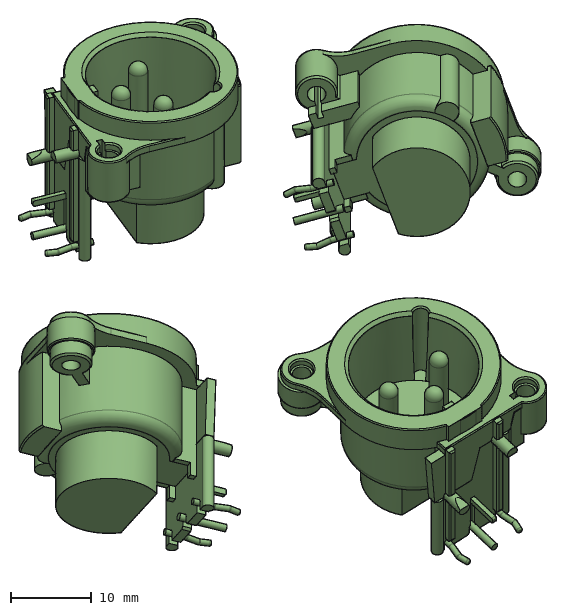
import cadquery as cq
import math


flange_top = -2.74
flange_bottom = -3.77
shell_bottom = -14.5
skirt_bottom = -16.3
lug_bottom = -9.0

rim_radius = 10.83
rim_chamfer = 0.15
shell_radius = 9.05
shell_bottom_fillet = 1.5
socket_top_radius = 8.1
socket_floor_radius = 7.5
socket_floor = -12.0
mouth_bevel = 0.45
mouth_flat_y = -8.29
key_groove_radius = 1.0
key_groove_offset = 8.2
key_groove_bevel = 0.2
key_wall = 0.5
rim_pad_left = -3.13
rim_pad_right = 2.21
rim_pad_y = -10.76

lug_offset = 9.86
lug_radius = 2.6
collar_radius = 2.95
collar_bottom = -7.0
lug_hole_radius = 1.15
lug_recess_radius = 1.45
lug_recess_depth = 1.0
lug_recess_chamfer = 0.2
lug_blend_radius = 6.0
flange_chamfer = 0.15
lug_bottom_chamfer = 0.25
flange_left = -4.33
rear_radius = 11.25
rear_half_width = 3.4
rear_block_chamfer = 0.2
lug_slot_left = 7.42
lug_slot_y = -10.08
lug_slot_width = 0.72
lug_web_width = 1.36

wall_front = -11.56
wall_back = -10.35
skirt_back = -9.55
skirt_half_width = 3.4
seam_low = -11.65
seam_high = -6.45
seam_low_x = -0.12
seam_high_x = 1.2
wall_top_left = -6.53
wall_top_right = 6.7
seam_left = -6.0
seam_right = 6.07
side_web_left = 6.2
side_web_right = 8.3
side_web_front = -11.45
side_web_back = -5.0
side_web_bottom = -10.73
neck_half_width = 2.6
neck_top = -12.5
neck_back = -5.0

rib_x = 3.8
rib_width = 1.0
rib_front = -12.45
rib_bottom = -19.66
rib_chamfer = 0.2
peg_radius = 0.8
peg_taper_start = -13.1
peg_tip = -14.72
peg_tip_drop = 0.42

insert_radius = 6.6
insert_flat_y = -4.1
insert_bottom = -21.4
column_x = 5.22
column_radius = 0.75
wall_bottom = -21.7

contact_radius = 1.2
contact_spacing = 4.0
contact_dome_z = -2.42
pin_z = -20.47
pin_end = -15.95
pin_x = 4.05
side_pin_radius = 0.4
pin_tip_fillet = 0.24
centre_pin_radius = 0.48
pin_bend_start = -12.5
pin_bend_y = -14.4
pin_bend_out = 0.35
pin_notch_chamfer = 0.3
prong_top = -15.0
prong_height = 0.84
prong_width = 0.62
prong_edge = 0.25
prong_groove_depth = 0.5
ground_left = -1.2
ground_right = 0.22
ground_front = -7.2
ground_top = -0.8


def block(x0, x1, y0, y1, z0, z1):
    """Box between two opposite corners."""
    return cq.Workplane("XY").box(x1 - x0, y1 - y0, z1 - z0, centered=False).translate((x0, y0, z0))


def upright(x, y, radius, z0, z1):
    """Cylinder standing along Z."""
    return cq.Workplane("XY", origin=(x, y, z0)).circle(radius).extrude(z1 - z0)


def rod(start, end, radius):
    """Cylinder between two points."""
    direction = cq.Vector(*end) - cq.Vector(*start)
    return cq.Workplane(cq.Solid.makeCylinder(radius, direction.Length, cq.Vector(*start), direction))


def wall_plate(points):
    """Plate in the board-side wall, from an XZ outline."""
    plate = cq.Workplane("XZ", origin=(0, wall_back, 0)).polyline(points).close()
    return plate.extrude(wall_back - wall_front)


def lug_tangency(edge):
    """Where the concave blend meets a straight flange edge and the lug circle.

    Returns the distance along the edge from the lug centre, then the along-edge and
    outward distances of the lug tangent point from the lug centre.
    """
    gap = edge - lug_offset
    along = math.sqrt((lug_blend_radius + lug_radius) ** 2 - (gap + lug_blend_radius) ** 2)
    share = lug_radius / (lug_radius + lug_blend_radius)
    return along, along * share, (gap + lug_blend_radius) * share


def blend_middle(along, edge):
    """Point halfway round the concave blend: along-edge and outward distances from the lug centre."""
    centre_out = edge - lug_offset + lug_blend_radius
    half_angle = math.atan2(along, centre_out) / 2
    return (along - lug_blend_radius * math.sin(half_angle),
            centre_out - lug_blend_radius * math.cos(half_angle))


def rear_flange():
    """Flange half with the -X +Y lug."""
    side = lug_tangency(rim_radius)
    side_mid = blend_middle(side[0], rim_radius)
    rear = lug_tangency(rear_radius)
    rear_mid = blend_middle(rear[0], rear_radius)
    tip = lug_offset + lug_radius * math.sqrt(0.5)
    arc_angle = math.asin(rear_half_width / rear_radius)
    outline = (
        cq.Workplane("XY", origin=(0, 0, flange_bottom))
        .moveTo(-rim_radius, 0)
        .lineTo(-rim_radius, lug_offset - side[0])
        .threePointArc((-lug_offset - side_mid[1], lug_offset - side_mid[0]),
                       (-lug_offset - side[2], lug_offset - side[1]))
        .threePointArc((-tip, tip), (-lug_offset + rear[1], lug_offset + rear[2]))
        .threePointArc((-lug_offset + rear_mid[0], lug_offset + rear_mid[1]),
                       (-lug_offset + rear[0], rear_radius))
        .lineTo(0, rear_radius)
        .threePointArc((rear_radius * math.sin(arc_angle / 2), rear_radius * math.cos(arc_angle / 2)),
                       (rear_half_width, rear_radius * math.cos(arc_angle)))
        .lineTo(rear_half_width, 0)
        .close()
    )
    return outline.extrude(flange_top - flange_bottom).faces(">Z").chamfer(flange_chamfer)


def front_flange():
    """Flange half with the +X -Y lug and the straight board-side edge."""
    side = lug_tangency(rim_radius)
    side_mid = blend_middle(side[0], rim_radius)
    tip = lug_offset + lug_radius * math.sqrt(0.5)
    edge_depth = -wall_front - lug_offset
    edge_x = lug_offset - math.sqrt(lug_radius ** 2 - edge_depth ** 2)
    outline = (
        cq.Workplane("XY", origin=(0, 0, flange_bottom))
        .moveTo(rim_radius, 0)
        .lineTo(rim_radius, side[0] - lug_offset)
        .threePointArc((lug_offset + side_mid[1], side_mid[0] - lug_offset),
                       (lug_offset + side[2], side[1] - lug_offset))
        .threePointArc((tip, -tip), (edge_x, wall_front))
        .lineTo(flange_left, wall_front)
        .lineTo(flange_left, 0)
        .close()
    )
    return outline.extrude(flange_top - flange_bottom).faces(">Z").chamfer(flange_chamfer)


def lug_bosses():
    """Boss below each lug; each has a radial web to the shell and the rear one a wider collar."""
    front = upright(lug_offset, -lug_offset, lug_radius, lug_bottom, flange_bottom)
    rear = upright(-lug_offset, lug_offset, lug_radius, lug_bottom, flange_bottom)
    bosses = front.union(rear).faces("<Z").chamfer(lug_bottom_chamfer)
    collar = upright(-lug_offset, lug_offset, collar_radius, collar_bottom, flange_bottom)
    bosses = bosses.union(collar.faces("<Z").chamfer(flange_chamfer))
    reach = lug_offset * math.sqrt(2)
    half_width = lug_web_width / 2
    for bearing in (135, -45):
        web = block(socket_top_radius, reach, -half_width, half_width, lug_bottom, flange_bottom)
        bosses = bosses.union(web.rotate((0, 0, 0), (0, 0, 1), bearing))
    return bosses


def cut_lug_holes(body):
    """Screw hole with a recessed, chamfered mouth in each lug, and the slot beside the front one."""
    for side in (-1, 1):
        x, y = side * lug_offset, -side * lug_offset
        body = body.cut(upright(x, y, lug_hole_radius, side_web_bottom, flange_top))
        recess = upright(x, y, lug_recess_radius, flange_top - lug_recess_depth, flange_top)
        mouth = cq.Solid.makeCone(lug_recess_radius, lug_recess_radius + lug_recess_chamfer,
                                  lug_recess_chamfer, cq.Vector(x, y, flange_top - lug_recess_chamfer))
        body = body.cut(recess).cut(cq.Workplane(mouth))
    return body.cut(block(lug_slot_left, lug_offset, lug_slot_y - lug_slot_width / 2,
                          lug_slot_y + lug_slot_width / 2, side_web_bottom, flange_top))


def rear_block():
    """Curved block down the back of the shell, under the flange step."""
    pad = upright(0, 0, rear_radius, shell_bottom, flange_bottom)
    pad = pad.faces("<Z").chamfer(rear_block_chamfer)
    return pad.intersect(block(-rear_half_width, rear_half_width, socket_top_radius, rear_radius,
                               shell_bottom, flange_bottom))


def cut_socket(body):
    """Tapered socket, bevelled mouth, key groove and the bore that takes the insert."""
    taper = cq.Solid.makeCone(socket_floor_radius, socket_top_radius, -socket_floor,
                              cq.Vector(0, 0, socket_floor))
    bevel = cq.Solid.makeCone(socket_top_radius, socket_top_radius + mouth_bevel, mouth_bevel,
                              cq.Vector(0, 0, -mouth_bevel))
    bevel = cq.Workplane(bevel).intersect(
        block(-rim_radius, rim_radius, mouth_flat_y, rim_radius, -mouth_bevel, 0))
    key = key_groove_offset * math.sqrt(0.5)
    body = body.cut(cq.Workplane(taper)).cut(bevel)
    body = body.cut(upright(key, key, key_groove_radius, socket_floor, 0))
    key_mouth = cq.Solid.makeCone(key_groove_radius, key_groove_radius + key_groove_bevel, key_groove_bevel,
                                  cq.Vector(key, key, -key_groove_bevel))
    body = body.cut(cq.Workplane(key_mouth))
    return body.cut(upright(0, 0, socket_floor_radius, shell_bottom, socket_floor))


def ground_rib():
    """Narrow ground rib standing along the socket wall."""
    return block(ground_left, ground_right, -socket_top_radius - mouth_bevel / 2, ground_front,
                 socket_floor, ground_top)


def wall_rib(x):
    """Long rib on the face of the wall."""
    rib = block(x - rib_width / 2, x + rib_width / 2, rib_front, wall_front, rib_bottom, flange_top)
    return rib.faces("<Y").chamfer(rib_chamfer)


def snap_peg(x, z, tapered_side):
    """Board peg whose tip slopes in from above (1) or from below (-1)."""
    peg = rod((x, wall_front, z), (x, peg_tip, z), peg_radius)
    wedge = (
        cq.Workplane("YZ", origin=(x - peg_radius, 0, z))
        .moveTo(peg_taper_start, tapered_side * peg_radius)
        .lineTo(peg_tip, tapered_side * peg_radius)
        .lineTo(peg_tip, tapered_side * (peg_radius - peg_tip_drop))
        .close()
        .extrude(2 * peg_radius)
    )
    return peg.cut(wedge)


def make_shell():
    """Housing with rim, flange, socket and the upper part of the board-side wall."""
    key = key_groove_offset * math.sqrt(0.5)
    rim = upright(0, 0, rim_radius, flange_bottom, 0).faces(">Z").chamfer(rim_chamfer)
    barrel = upright(0, 0, shell_radius, shell_bottom, flange_bottom)
    body = barrel.faces("<Z").edges().fillet(shell_bottom_fillet).union(rim)
    body = body.union(block(rim_pad_left, rim_pad_right, rim_pad_y, mouth_flat_y, flange_bottom, 0))
    body = body.union(rear_flange()).union(front_flange()).union(lug_bosses()).union(rear_block())
    body = body.union(upright(key, key, key_groove_radius + key_wall, shell_bottom, flange_bottom))
    body = body.union(wall_plate([
        (flange_left, flange_top - flange_chamfer),
        (flange_left, flange_bottom),
        (wall_top_left, flange_bottom),
        (seam_left, seam_low),
        (seam_low_x, seam_low),
        (seam_high_x, seam_high),
        (seam_right, seam_high),
        (wall_top_right, flange_bottom),
        (wall_top_right, flange_top - flange_chamfer),
    ]))
    body = body.union(block(-skirt_half_width, skirt_half_width, skirt_back, -socket_floor_radius,
                            shell_bottom, flange_bottom))
    body = body.union(block(-skirt_half_width, skirt_half_width, wall_back, skirt_back,
                            skirt_bottom, flange_bottom))
    body = body.union(block(side_web_left, side_web_right, side_web_front, side_web_back,
                            side_web_bottom, flange_bottom))
    for x in (-rib_x, rib_x):
        body = body.union(wall_rib(x))
    body = body.union(snap_peg(-rib_x, seam_low, 1)).union(snap_peg(rib_x, seam_high, -1))
    body = cut_lug_holes(cut_socket(body)).union(ground_rib())
    return body.cut(block(-neck_half_width, neck_half_width, wall_back, neck_back, skirt_bottom, neck_top))


def contact(x, y):
    """Round-tipped contact standing on the socket floor."""
    stem = upright(x, y, contact_radius, socket_floor, contact_dome_z)
    return stem.union(cq.Workplane("XY").sphere(contact_radius).translate((x, y, contact_dome_z)))


def side_pin(side):
    """Kinked board pin, bowed outward before its tip."""
    path = [
        (side * pin_x, skirt_back, pin_z),
        (side * pin_x, pin_bend_start, pin_z),
        (side * (pin_x + pin_bend_out), pin_bend_y, pin_z),
        (side * pin_x, pin_end, pin_z),
    ]
    route = cq.Workplane("XY").polyline(path)
    pin = cq.Workplane("XZ", origin=path[0]).circle(side_pin_radius).sweep(route, transition="round")
    return pin.faces("<Y").edges().fillet(pin_tip_fillet)


def pin_notch(x, radius):
    """Notch from a pin down to the lower edge of the wall."""
    return block(x - radius, x + radius, wall_front, wall_back, wall_bottom, pin_z)


def insert_wall():
    """Lower part of the board-side wall with its edge columns and pin notches."""
    wall = wall_plate([
        (-column_x, wall_bottom),
        (-column_x, seam_low),
        (seam_low_x, seam_low),
        (seam_high_x, seam_high),
        (column_x, seam_high),
        (column_x, wall_bottom),
    ])
    for x in (-pin_x, pin_x):
        wall = wall.cut(pin_notch(x, side_pin_radius))
    wall = wall.cut(pin_notch(0, centre_pin_radius))
    flare = centre_pin_radius + pin_notch_chamfer
    wall = wall.cut(wall_plate([
        (-flare, wall_bottom),
        (0, wall_bottom + flare),
        (flare, wall_bottom),
    ]))
    wall = wall.cut(block(-prong_width / 2, prong_width / 2, wall_front, wall_front + prong_groove_depth,
                          pin_z, prong_top))
    for side, top in ((-1, seam_low), (1, seam_high)):
        column = upright(side * column_x, wall_back - column_radius, column_radius, wall_bottom, top)
        wall = wall.union(column)
    return wall


def make_insert():
    """Contact carrier: plug in the shell bore, lower wall, contacts and board pins."""
    body = upright(0, 0, socket_floor_radius, shell_bottom, socket_floor)
    stub = upright(0, 0, insert_radius, insert_bottom, shell_bottom)
    body = body.union(stub.intersect(
        block(-insert_radius, insert_radius, insert_flat_y, insert_radius, insert_bottom, shell_bottom)))
    body = body.union(block(-neck_half_width, neck_half_width, wall_back, neck_back, shell_bottom, neck_top))
    body = body.union(insert_wall())
    for x, y in ((-contact_spacing, 0), (contact_spacing, 0), (0, -contact_spacing)):
        body = body.union(contact(x, y))
    for side in (-1, 1):
        body = body.union(side_pin(side))
    body = body.union(rod((0, skirt_back, pin_z), (0, pin_end, pin_z), centre_pin_radius))
    prong = block(-prong_width / 2, prong_width / 2, pin_end, wall_back, prong_top - prong_height, prong_top)
    return body.union(prong.faces("<Y").edges("|X").fillet(prong_edge))


shell = make_shell()
insert = make_insert()

result = cq.Compound.makeCompound([*shell.solids().vals(), *insert.solids().vals()])